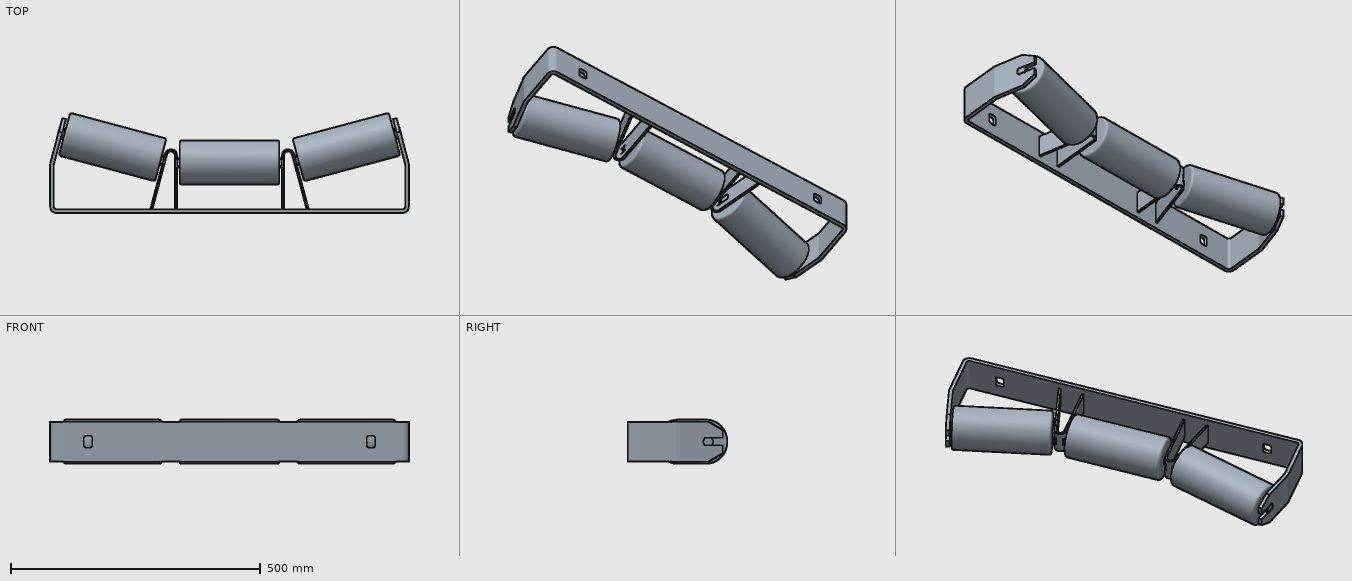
import cadquery as cq
import math

frame_length = 720.0
frame_height = 80.0
bar_thickness = 8.0
bend_inner_radius = 6.0
bend_outer_radius = bend_inner_radius + bar_thickness
kink_y = 99.0
plate_tip_y = 191.0
tip_bevel_length = 28.0
tip_bevel_height = 16.0

hole_offset = 284.0
hole_width = 17.0
hole_height = 24.0
hole_corner_radius = 5.0

bracket_thickness = 4.0
bracket_height = 50.0
bracket_top_y = 128.0
bracket_inner_radius = 8.0
bracket_outer_radius = bracket_inner_radius + bracket_thickness

roller_diameter = 89.0
roller_length = 200.0
roller_edge_radius = 5.0
roller_gap = 5.0
center_roller_y = 101.5
side_roller_y = 132.5
axle_diameter = 20.0
axle_flat_width = 15.0

tilt = 15.0
sin_tilt = math.sin(math.radians(tilt))
cos_tilt = math.cos(math.radians(tilt))
tan_tilt = math.tan(math.radians(tilt))

reach = roller_length / 2 + roller_gap
axle_end_in_bracket = reach + bracket_thickness
axle_end_in_plate = reach + bar_thickness

bracket_x = reach + bracket_outer_radius
bracket_y = bracket_top_y - bracket_outer_radius

side_roller_x = bracket_x + (reach + bracket_outer_radius - (side_roller_y - bracket_y) * sin_tilt) / cos_tilt

tip_x = frame_length / 2 + (kink_y - plate_tip_y) * tan_tilt


def mirrored(shape):
    """The matching shape on the other side of the middle plane X = 0."""
    return shape.mirror("YZ")


def place_center(shape):
    """Move a shape built along X onto the axis of the centre roller."""
    return shape.translate((0, center_roller_y, 0))


def place_right(shape):
    """Move a shape built along X onto the tilted axis of the right roller."""
    return shape.rotate((0, 0, 0), (0, 0, 1), tilt).translate((side_roller_x, side_roller_y, 0))


def make_bar():
    outer_x = frame_length / 2
    inner_x = outer_x - bar_thickness
    inner_kink_y = kink_y - bar_thickness * math.tan(math.radians(tilt / 2))
    right_half = [
        (outer_x, 0),
        (outer_x, kink_y),
        (tip_x, plate_tip_y),
        (tip_x - bar_thickness * cos_tilt, plate_tip_y - bar_thickness * sin_tilt),
        (inner_x, inner_kink_y),
        (inner_x, bar_thickness),
    ]
    left_half = [(-x, y) for x, y in reversed(right_half)]
    outline = cq.Workplane("XY").polyline(right_half + left_half).close()
    bar = outline.extrude(frame_height / 2, both=True)

    bends = [
        (outer_x, 0, bend_outer_radius),
        (outer_x, kink_y, bend_outer_radius),
        (inner_x, bar_thickness, bend_inner_radius),
        (inner_x, inner_kink_y, bend_inner_radius),
    ]
    for x, y, radius in bends:
        for side in (-1, 1):
            bar = bar.edges(cq.NearestToPointSelector((side * x, y, 0))).fillet(radius)
    return bar


def make_tip_bevel(side):
    """Wedge that bevels the upper (side 1) or lower (side -1) tip corner of the right end plate."""
    plate_face = cq.Plane(
        origin=(tip_x, plate_tip_y, 0), xDir=(-sin_tilt, cos_tilt, 0), normal=(cos_tilt, sin_tilt, 0)
    )
    edge_z = side * frame_height / 2
    corners = [(-tip_bevel_length, edge_z), (0, edge_z), (0, edge_z - side * tip_bevel_height)]
    return cq.Workplane(plate_face).polyline(corners).close().extrude(2 * bar_thickness, both=True)


def make_hole(side):
    hole = cq.Workplane("XZ", origin=(side * hole_offset, 0, 0)).rect(hole_width, hole_height)
    return hole.extrude(2 * bar_thickness, both=True).edges("|Y").fillet(hole_corner_radius)


def make_right_bracket():
    """Upright leg, rounded top and sloping leg, bent from one strip."""

    def slope_start(radius):
        return bracket_x + radius * cos_tilt, bracket_y + radius * sin_tilt

    def slope_foot(radius):
        x, y = slope_start(radius)
        return x + (y - bar_thickness) * tan_tilt, bar_thickness

    outer = bracket_outer_radius
    inner = bracket_inner_radius
    outline = (
        cq.Workplane("XY")
        .moveTo(bracket_x - outer, bar_thickness)
        .lineTo(bracket_x - outer, bracket_y)
        .threePointArc((bracket_x, bracket_y + outer), slope_start(outer))
        .lineTo(*slope_foot(outer))
        .lineTo(*slope_foot(inner))
        .lineTo(*slope_start(inner))
        .threePointArc((bracket_x, bracket_y + inner), (bracket_x - inner, bracket_y))
        .lineTo(bracket_x - inner, bar_thickness)
        .close()
    )
    return outline.extrude(bracket_height / 2, both=True)


def make_axle(left_end, right_end):
    """Round axle along X with flats facing +Z and -Z."""
    length = left_end + right_end
    rod = cq.Workplane("YZ", origin=(-left_end, 0, 0)).circle(axle_diameter / 2).extrude(length)
    flats = cq.Workplane("XY").box(2 * length, axle_diameter, axle_flat_width)
    return rod.intersect(flats)


def make_axle_slot(left_end, right_end):
    """Seat for an axle, open towards +Y so that the axle drops in."""
    channel = cq.Workplane("XY", origin=(-left_end, 0, 0)).box(
        left_end + right_end, roller_diameter, axle_flat_width, centered=(False, False, True)
    )
    return make_axle(left_end, right_end).union(channel)


def make_roller(left_end, right_end):
    """Drum with rounded rims and its axle, along X and centred on the origin."""
    drum = cq.Workplane("YZ", origin=(-roller_length / 2, 0, 0)).circle(roller_diameter / 2)
    drum = drum.extrude(roller_length).edges().fillet(roller_edge_radius)
    return drum.union(make_axle(left_end, right_end))


def make_frame():
    """Bar and both brackets, made in one piece with the fixed centre roller."""
    frame = make_bar()
    for side in (-1, 1):
        bevel = make_tip_bevel(side)
        frame = frame.cut(bevel).cut(mirrored(bevel)).cut(make_hole(side))

    bracket = make_right_bracket()
    frame = frame.union(bracket).union(mirrored(bracket))

    side_slot = place_right(make_axle_slot(axle_end_in_bracket, axle_end_in_plate))
    center_slot = place_center(make_axle_slot(axle_end_in_bracket, axle_end_in_bracket))
    frame = frame.cut(side_slot).cut(mirrored(side_slot)).cut(center_slot)

    center_roller = place_center(make_roller(axle_end_in_bracket, axle_end_in_bracket))
    return frame.union(center_roller, clean=False)


frame = make_frame()
right_roller = place_right(make_roller(axle_end_in_bracket, axle_end_in_plate))
left_roller = mirrored(right_roller)

bodies = [frame, left_roller, right_roller]
result = cq.Compound.makeCompound([body.solids().val() for body in bodies])